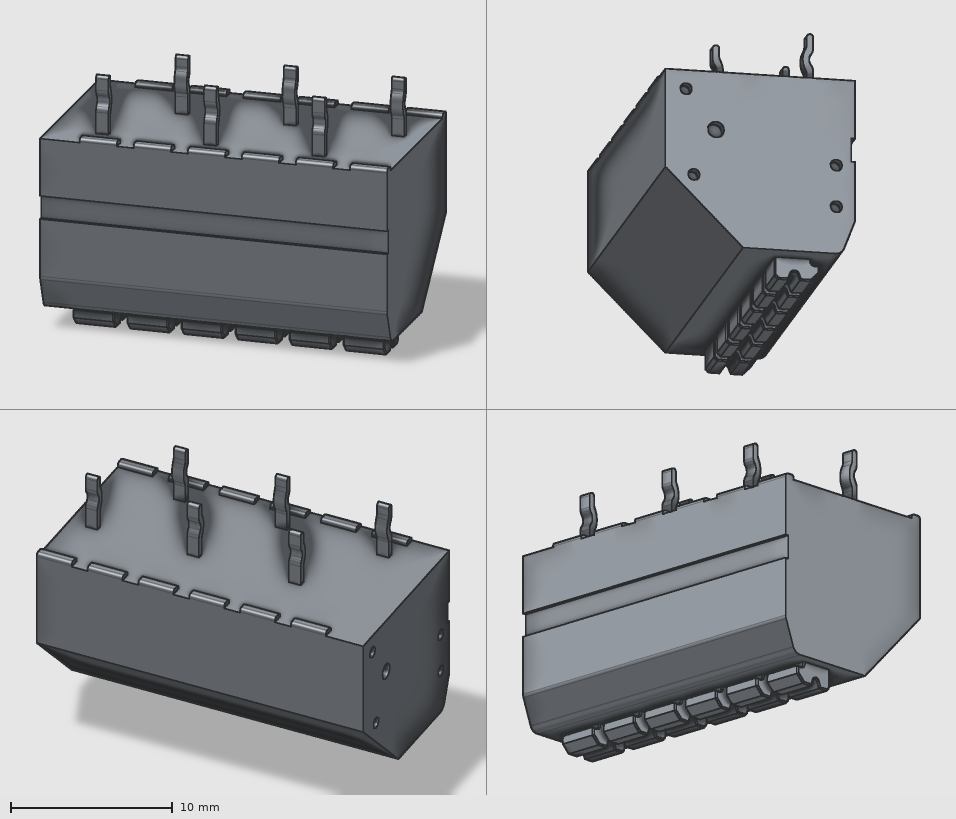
import cadquery as cq


length = 22.5
depth = 12.0
height = 11.25
back_chamfer = 4.9
front_slope_height = 2.18
front_slope_run = 0.83
slope_fillet = 0.6
groove_depth = 0.25
groove_bottom = 6.0
groove_height = 1.5

pole_count = 6
end_wall = 1.48
pitch = (length - end_wall) / pole_count
overlap = 0.22

nub_length = 2.4
nub_width = 0.75
nub_height = 0.3
nub_fillet = 0.22
first_nub_x = length - (pole_count - 1) * pitch - nub_length

pin_top = 15.03
pin_width = 0.8
pin_thickness = 0.4
pin_tip_radius = pin_thickness / 2
first_pin_center_x = 3.4
front_pin_y = 2.0
back_pin_y = 7.18
bow_center_z = 13.36
bow_offset = 0.25
bow_outer_half = 0.7
bow_outer_span = 0.97
bow_inner_half = 0.35
bow_inner_span = 0.72

button_length = 2.7
button_chamfer = 0.1
first_button_x = 1.5
button_front = 1.91
button_back = 4.77
button_drop = 1.4
button_back_chamfer = 0.22
button_front_chamfer = 0.52
lip_depth = 0.55
lip_drop = 0.35
lip_radius = 0.27
slot_center_y = 3.5
slot_mouth_half = 0.35
slot_neck_half = 0.2
slot_neck_rise = 0.38
slot_rise = 0.55

small_hole_diameter = 0.72
large_hole_diameter = 1.01
hole_depth = 0.68
small_hole_places = [(10.69, 10.04), (10.2, 4.52), (1.2, 5.72), (1.2, 3.04)]
large_hole_place = (8.8, 7.52)


def end_plane(x):
    """Plane facing +X at the given x, with local axes along Y and Z."""
    return cq.Workplane("YZ", origin=(x, 0, 0))


def make_housing():
    groove_top = groove_bottom + groove_height
    outline = [
        (0, height),
        (0, groove_top),
        (groove_depth, groove_top),
        (groove_depth, groove_bottom),
        (0, groove_bottom),
        (0, front_slope_height),
        (front_slope_run, 0),
        (depth - back_chamfer, 0),
        (depth, back_chamfer),
        (depth, height),
    ]
    housing = end_plane(0).polyline(outline).close().extrude(length)
    slope_corners = cq.selectors.BoxSelector(
        (0, -overlap, -overlap),
        (length, front_slope_run + overlap, front_slope_height + overlap),
    )
    return housing.edges("|X").edges(slope_corners).fillet(slope_fillet)


def make_nub(x, front_y):
    nub = cq.Workplane("XY").box(nub_length, nub_width, nub_height + overlap, centered=False)
    nub = nub.edges("|X and >Z").fillet(nub_fillet)
    return nub.translate((x, front_y, height - overlap))


def add_bow(path, face_y, direction, half, span, upward):
    """Continue a pin face through its bow: a blend, the main arc and a second blend."""
    offset = direction * bow_offset
    joint_y = face_y + offset * (span - half) / span
    sign = 1 if upward else -1
    path = path.lineTo(face_y, bow_center_z - sign * span)
    path = path.tangentArcPoint((joint_y, bow_center_z - sign * half), relative=False)
    path = path.tangentArcPoint((joint_y, bow_center_z + sign * half), relative=False)
    return path.tangentArcPoint((face_y, bow_center_z + sign * span), relative=False)


def make_pin(center_x, front_y, direction):
    """Pin whose bow points along +Y (direction 1) or -Y (direction -1)."""
    back_y = front_y + pin_thickness
    outer = (bow_outer_half, bow_outer_span)
    inner = (bow_inner_half, bow_inner_span)
    front_bow, back_bow = (inner, outer) if direction > 0 else (outer, inner)
    root_z = height - overlap

    path = end_plane(center_x - pin_width / 2).moveTo(front_y, root_z)
    path = add_bow(path, front_y, direction, *front_bow, upward=True)
    path = path.lineTo(front_y, pin_top - pin_tip_radius)
    path = path.threePointArc((front_y + pin_tip_radius, pin_top), (back_y, pin_top - pin_tip_radius))
    path = add_bow(path, back_y, direction, *back_bow, upward=False)
    return path.lineTo(back_y, root_z).close().extrude(pin_width)


def make_button(x):
    neck_front = button_front + lip_depth
    neck_z = slot_neck_rise - button_drop
    arc_middle = lip_radius * (1 - 0.5 ** 0.5)
    button = (
        end_plane(x)
        .moveTo(button_back, overlap)
        .lineTo(button_back, button_back_chamfer - button_drop)
        .lineTo(button_back - button_back_chamfer, -button_drop)
        .lineTo(slot_center_y + slot_mouth_half, -button_drop)
        .lineTo(slot_center_y + slot_neck_half, neck_z)
        .threePointArc((slot_center_y, slot_rise - button_drop), (slot_center_y - slot_neck_half, neck_z))
        .lineTo(slot_center_y - slot_mouth_half, -button_drop)
        .lineTo(button_front + button_front_chamfer, -button_drop)
        .lineTo(button_front, button_front_chamfer - button_drop)
        .lineTo(button_front, -lip_drop)
        .lineTo(neck_front - lip_radius, -lip_drop)
        .threePointArc(
            (neck_front - arc_middle, arc_middle - lip_drop),
            (neck_front, lip_radius - lip_drop),
        )
        .lineTo(neck_front, overlap)
        .close()
        .extrude(button_length)
    )
    return button.faces("<X or >X").edges().chamfer(button_chamfer)


def make_holes():
    small = end_plane(0).pushPoints(small_hole_places).circle(small_hole_diameter / 2).extrude(hole_depth)
    large = end_plane(0).pushPoints([large_hole_place]).circle(large_hole_diameter / 2).extrude(hole_depth)
    return small.union(large)


result = make_housing().cut(make_holes())
for pole in range(pole_count):
    shift = pole * pitch
    result = result.union(make_nub(first_nub_x + shift, 0))
    result = result.union(make_nub(first_nub_x + shift, depth - nub_width))
    result = result.union(make_button(first_button_x + shift))
    if pole % 2 == 0:
        pin = make_pin(first_pin_center_x + shift, front_pin_y, 1)
    else:
        pin = make_pin(first_pin_center_x + shift, back_pin_y, -1)
    result = result.union(pin)